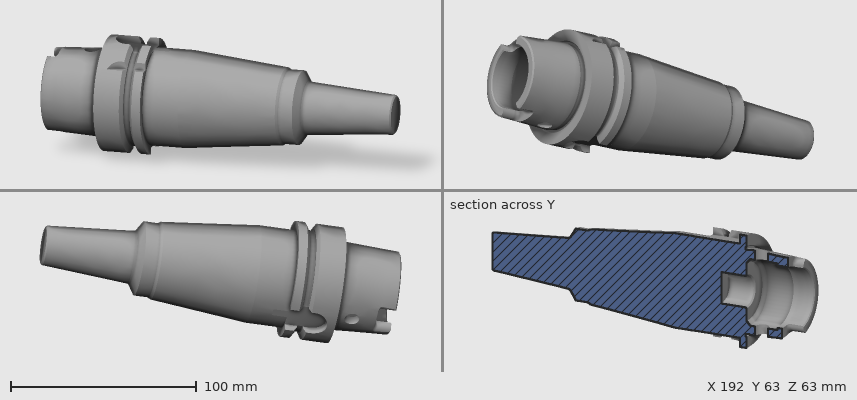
import cadquery as cq
import math

shank_cone_end = 29.5
flange_start = 32.0
flange_end = 58.0
body_cylinder_end = 77.5
body_cone_end = 130.4
collar_start = 132.0
collar_end = 139.5
nose_start = 143.5
total_length = 192.0

flange_radius = 31.5
body_radius = 26.5
body_cone_end_radius = 21.1
collar_radius = 20.2
nose_root_radius = 14.4
nose_tip_radius = 10.8
tip_chamfer = 0.8
nose_root_fillet = 1.3

shank_end_radius = 24.0
shank_taper_slope = 1 / 20
shank_start_radius = shank_end_radius - shank_taper_slope * shank_cone_end
shank_chamfer_length = 0.5
shank_chamfer_height = 1.0

relief_start = 30.7
relief_radius = 23.6
relief_face_radius = 25.3
relief_floor_outer_radius = 24.8
relief_face_depth = 0.5

groove_center = 49.7
groove_mouth_width = 7.0
groove_floor_width = 3.5
groove_wall_radius = 28.8
groove_floor_radius = 27.5
groove_floor_fillet = 0.5

bore_radius = 17.3
bore_chamfer = 0.5
chamber_start = 13.0
chamber_radius = 18.5
chamber_end_chamfer = 2.1
bore_floor = flange_start
center_hole_radius = 8.6
center_hole_chamfer = 0.8
center_hole_end = 48.0

drive_slot_half_width = 6.1
drive_slot_edge_round = 3.5
drive_slot_round_top = 20.7
drive_slot_floor_fillet = 1.7
top_drive_slot_depth = 6.0
bottom_drive_slot_depth = 9.8

access_hole_x = 22.8
access_hole_radius = 4.0

pocket_radius = 7.9
pocket_center_x = 44.4
key_slot_end = 66.2
body_flat_half_width = 2.3
key_slot_floor = math.sqrt(body_radius**2 - body_flat_half_width**2)
notch_wall_y = -20.2
notch_floor_z = 20.4

cutter_overrun = 2.0


def revolve_about_x(profile):
    """Turn a closed XY profile around the X axis."""
    return profile.close().revolve(360, (0, 0, 0), (1, 0, 0))


def make_turned_body():
    profile = (
        cq.Workplane("XY")
        .moveTo(0, 0)
        .lineTo(0, shank_start_radius - shank_chamfer_height)
        .lineTo(shank_chamfer_length, shank_start_radius + shank_taper_slope * shank_chamfer_length)
        .lineTo(shank_cone_end, shank_end_radius)
        .lineTo(relief_start, relief_radius)
        .lineTo(flange_start + relief_face_depth, relief_radius)
        .lineTo(flange_start + relief_face_depth, relief_floor_outer_radius)
        .lineTo(flange_start, relief_face_radius)
        .lineTo(flange_start, flange_radius)
        .lineTo(flange_end, flange_radius)
        .lineTo(flange_end, body_radius)
        .lineTo(body_cylinder_end, body_radius)
        .lineTo(body_cone_end, body_cone_end_radius)
        .lineTo(collar_start, collar_radius)
        .lineTo(collar_end, collar_radius)
        .lineTo(nose_start, nose_root_radius)
        .lineTo(total_length - tip_chamfer, nose_tip_radius)
        .lineTo(total_length, nose_tip_radius - tip_chamfer)
        .lineTo(total_length, 0)
    )
    slab_size = 2 * flange_radius
    slab = cq.selectors.BoxSelector(
        (nose_start - nose_root_fillet, -slab_size, -slab_size),
        (nose_start + nose_root_fillet, slab_size, slab_size),
    )
    return revolve_about_x(profile).edges(slab).fillet(nose_root_fillet)


def make_gripper_groove():
    mouth_left = groove_center - groove_mouth_width / 2
    mouth_right = groove_center + groove_mouth_width / 2
    floor_left = groove_center - groove_floor_width / 2
    floor_right = groove_center + groove_floor_width / 2
    fillet_top = groove_floor_radius + groove_floor_fillet
    outside = flange_radius + cutter_overrun
    profile = (
        cq.Workplane("XY")
        .moveTo(mouth_left, outside)
        .lineTo(mouth_left, flange_radius)
        .lineTo(floor_left, groove_wall_radius)
        .lineTo(floor_left, fillet_top)
        .radiusArc((floor_left + groove_floor_fillet, groove_floor_radius), -groove_floor_fillet)
        .lineTo(floor_right - groove_floor_fillet, groove_floor_radius)
        .radiusArc((floor_right, fillet_top), -groove_floor_fillet)
        .lineTo(floor_right, groove_wall_radius)
        .lineTo(mouth_right, flange_radius)
        .lineTo(mouth_right, outside)
    )
    return revolve_about_x(profile)


def make_bore():
    profile = (
        cq.Workplane("XY")
        .moveTo(0, 0)
        .lineTo(0, bore_radius + bore_chamfer)
        .lineTo(bore_chamfer, bore_radius)
        .lineTo(chamber_start, bore_radius)
        .lineTo(chamber_start, chamber_radius)
        .lineTo(bore_floor - chamber_end_chamfer, chamber_radius)
        .lineTo(bore_floor, chamber_radius - chamber_end_chamfer)
        .lineTo(bore_floor, center_hole_radius + center_hole_chamfer)
        .lineTo(bore_floor + center_hole_chamfer, center_hole_radius)
        .lineTo(center_hole_end, center_hole_radius)
        .lineTo(center_hole_end, 0)
    )
    return revolve_about_x(profile)


def make_drive_slot(depth):
    """Slot at +Z, open at X = 0, whose walls round over towards the shank surface."""
    round_y = drive_slot_half_width + drive_slot_edge_round
    round_z = drive_slot_round_top - drive_slot_edge_round
    inside_z = bore_radius / 2
    outside_y = round_y + cutter_overrun
    outside_z = shank_end_radius + cutter_overrun
    slot = (
        cq.Workplane("YZ")
        .moveTo(0, inside_z)
        .lineTo(drive_slot_half_width, inside_z)
        .lineTo(drive_slot_half_width, round_z)
        .radiusArc((round_y, drive_slot_round_top), drive_slot_edge_round)
        .lineTo(outside_y, drive_slot_round_top)
        .lineTo(outside_y, outside_z)
        .lineTo(0, outside_z)
        .mirrorY()
        .extrude(depth)
    )
    wall_feet = slot.faces(">X").edges("not(<Z or >Z or <Y or >Y)")
    return wall_feet.fillet(drive_slot_floor_fillet)


def make_pocket(center_y, floor_z, end_x):
    """Milled pocket with a round end, open upward and running along X to end_x."""
    height = flange_radius + cutter_overrun - floor_z
    length = end_x - pocket_center_x
    plane = cq.Workplane("XY", origin=(pocket_center_x, center_y, floor_z))
    round_end = plane.circle(pocket_radius).extrude(height)
    straight = plane.rect(length, 2 * pocket_radius, centered=(False, True)).extrude(height)
    return round_end.union(straight)


def turn_over(cutter):
    """Copy a cutter from the +Z side to the -Z side."""
    return cutter.rotate((0, 0, 0), (1, 0, 0), 180)


result = make_turned_body().cut(make_gripper_groove()).cut(make_bore())

result = result.cut(make_drive_slot(top_drive_slot_depth))
result = result.cut(turn_over(make_drive_slot(bottom_drive_slot_depth)))

access_hole = cq.Workplane("XY").center(access_hole_x, 0).circle(access_hole_radius)
result = result.cut(access_hole.extrude(flange_radius, both=True))

key_slot = make_pocket(0, key_slot_floor, key_slot_end)
result = result.cut(key_slot).cut(turn_over(key_slot))

notch = make_pocket(notch_wall_y - pocket_radius, notch_floor_z, flange_end)
result = result.cut(notch)